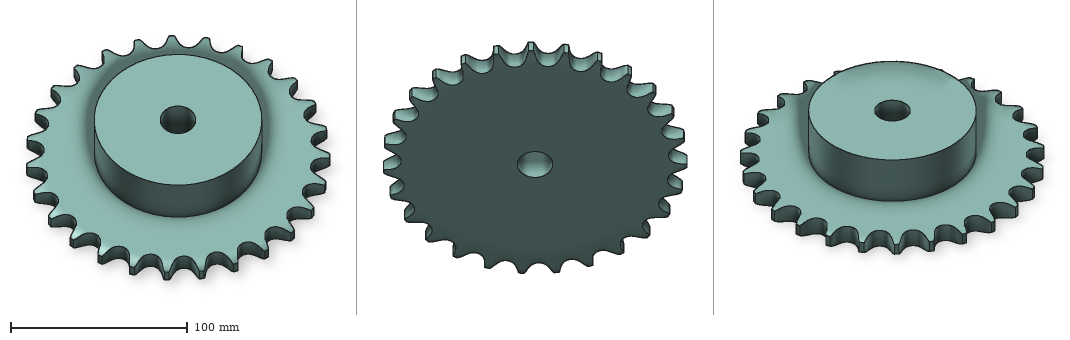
import cadquery as cq
import math

tooth_count = 27
pitch_diameter = 164.0
roller_diameter = 12.0
roller_clearance = 0.038
outer_diameter = 172.3
plate_thickness = 11.0
flat_face_radius = 77.6
hub_diameter = 95.0
bore_diameter = 20.0
total_height = 40.0
cutter_overreach = 1.7

outer_radius = outer_diameter / 2
tooth_angle = 360 / tooth_count
pitch_radius = pitch_diameter / 2
chain_pitch = pitch_diameter * math.sin(math.pi / tooth_count)
side_curve_radius = chain_pitch
first_gap_angle = -90 + tooth_angle / 2
cutter_radius = outer_radius + cutter_overreach

seat_slope = 35 + 60 / tooth_count
working_sweep = 18 - 56 / tooth_count
topping_slope = math.radians(17 - 64 / tooth_count)
sweep_radians = math.radians(working_sweep)
seat_radius = 0.5025 * roller_diameter + roller_clearance
working_radius = 1.3025 * roller_diameter + roller_clearance
straight_length = roller_diameter * (1.4 * math.sin(topping_slope) - 0.8 * math.sin(sweep_radians))
topping_radius = roller_diameter * (0.8 * math.cos(sweep_radians) + 1.4 * math.cos(topping_slope) - 1.3)


def plate_blank():
    """Revolved disc whose rim curves in on both faces."""
    def side_drop(radius):
        run = radius - flat_face_radius
        return side_curve_radius - math.sqrt(side_curve_radius**2 - run**2)

    middle_radius = (flat_face_radius + outer_radius) / 2
    tip_drop = side_drop(outer_radius)
    middle_drop = side_drop(middle_radius)
    return (
        cq.Workplane("XZ")
        .lineTo(flat_face_radius, 0)
        .threePointArc((middle_radius, middle_drop), (outer_radius, tip_drop))
        .lineTo(outer_radius, plate_thickness - tip_drop)
        .threePointArc(
            (middle_radius, plate_thickness - middle_drop),
            (flat_face_radius, plate_thickness),
        )
        .lineTo(0, plate_thickness)
        .close()
        .revolve(360, (0, 0, 0), (0, 1, 0))
    )


def gap_half():
    """Prism of one half of a tooth gap, on the +Y side of a gap centred on the +X axis.

    The edge runs from the gap bottom as four tangent pieces: roller seat, wider working
    arc, short straight stretch, then a topping arc that bends away from the gap centre.
    """
    def polar(centre, radius, degrees):
        angle = math.radians(degrees)
        return (centre[0] + radius * math.cos(angle), centre[1] + radius * math.sin(angle))

    seat_centre = (pitch_radius, 0)
    seat_bottom = polar(seat_centre, seat_radius, 180)
    seat_end_angle = 90 + seat_slope
    seat_middle = polar(seat_centre, seat_radius, (180 + seat_end_angle) / 2)
    seat_end = polar(seat_centre, seat_radius, seat_end_angle)

    working_centre = polar(seat_end, working_radius, seat_end_angle - 180)
    working_end_angle = seat_end_angle - working_sweep
    working_middle = polar(working_centre, working_radius, (seat_end_angle + working_end_angle) / 2)
    working_end = polar(working_centre, working_radius, working_end_angle)

    straight_end = polar(working_end, straight_length, working_end_angle - 90)

    topping_centre = polar(straight_end, topping_radius, working_end_angle)

    def topping_point(x):
        run = x - topping_centre[0]
        return (x, topping_centre[1] - math.sqrt(topping_radius**2 - run**2))

    return (
        cq.Workplane("XY")
        .moveTo(*seat_bottom)
        .threePointArc(seat_middle, seat_end)
        .threePointArc(working_middle, working_end)
        .lineTo(*straight_end)
        .threePointArc(
            topping_point((straight_end[0] + cutter_radius) / 2),
            topping_point(cutter_radius),
        )
        .lineTo(cutter_radius, 0)
        .close()
        .extrude(plate_thickness)
    )


def toothed_plate():
    plate = plate_blank()
    upper_half = gap_half()
    lower_half = upper_half.mirror("XZ")
    for index in range(tooth_count):
        angle = first_gap_angle + index * tooth_angle
        for half in (upper_half, lower_half):
            plate = plate.cut(half.rotate((0, 0, 0), (0, 0, 1), angle))
    return plate


hub = cq.Workplane("XY").circle(hub_diameter / 2).extrude(total_height)
bore = cq.Workplane("XY").circle(bore_diameter / 2).extrude(total_height)
result = toothed_plate().union(hub).cut(bore)